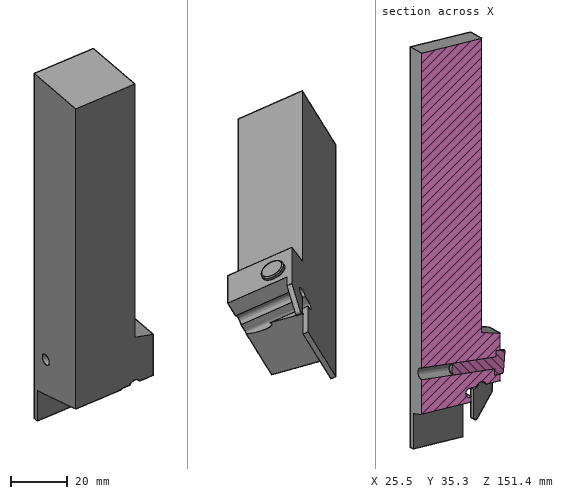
import cadquery as cq
import math

length = 151.4
shank = 25.5
slope = math.tan(math.radians(15))
lip_back = 33.3
lip_shoulder_z = 40.3
lip_straight_z = 14.5
blade_thickness = 2.0
relief_outer_z = 19.7

tip_y = 27.3
tip_side_z = 5.9
tip_low_y = 26.0
tip_low_z = 5.3

slot_front = 21.0
slot_back = shank
heel_y = 25.3
heel_z = 19.2
heel_radius = 2.3
toe_y = 20.5
toe_z = 18.5
toe_radius = 1.7

screw_tilt = 5
screw_x = 7.1
axis_front_z = 30.1
head_radius = 4.4
head_chamfer = 0.5
head_height = 3.8
head_top_distance = 35.1
stem_radius = 2.1
stem_tip_distance = 12.9
tip_chamfer = 0.5
hole_overrun = 1.5


def extrude_across(profile):
    """Extrude a (Y, Z) profile across the whole width of the shank."""
    return profile.extrude(shank)


def screw_cylinder(radius, start, end):
    """Cylinder between two distances from the front face along the screw axis."""
    tilt = math.radians(screw_tilt)
    axis = cq.Vector(0, math.cos(tilt), -math.sin(tilt))
    origin = cq.Vector(screw_x, 0, axis_front_z) + axis * start
    plane = cq.Plane(origin=origin.toTuple(), xDir=(1, 0, 0), normal=axis.toTuple())
    return cq.Workplane(plane).circle(radius).extrude(end - start)


def make_side_profile():
    """Shank with the lip and the pointed upper jaw."""
    lip_corner_z = lip_shoulder_z - (lip_back - shank) * slope
    return extrude_across(
        cq.Workplane("YZ")
        .moveTo(0, 0)
        .lineTo(slot_front, 0)
        .lineTo(slot_front, toe_z)
        .lineTo(slot_back, toe_z)
        .lineTo(slot_back, tip_side_z)
        .threePointArc((tip_low_y, tip_low_z), (tip_y, tip_side_z))
        .lineTo(lip_back, lip_straight_z)
        .lineTo(lip_back, lip_corner_z)
        .lineTo(shank, lip_shoulder_z)
        .lineTo(shank, length)
        .lineTo(0, length)
        .close()
    )


def make_slot_head():
    """Keyhole at the closed end of the insert slot."""
    heel = extrude_across(cq.Workplane("YZ").center(heel_y, heel_z).circle(heel_radius))
    toe = extrude_across(cq.Workplane("YZ").center(toe_y, toe_z).circle(toe_radius))
    bridge = extrude_across(
        cq.Workplane("YZ")
        .moveTo(toe_y, toe_z)
        .lineTo(heel_y, toe_z)
        .lineTo(heel_y, toe_z + toe_radius)
        .lineTo(toe_y, toe_z + toe_radius)
        .close()
    )
    return heel.union(toe).union(bridge)


def make_blade_relief():
    """Sloping cut that leaves only a thin blade at the bottom."""
    relief_inner_z = relief_outer_z - (shank - blade_thickness) * slope
    return (
        cq.Workplane("XZ")
        .moveTo(blade_thickness, 0)
        .lineTo(shank, 0)
        .lineTo(shank, relief_outer_z)
        .lineTo(blade_thickness, relief_inner_z)
        .close()
        .extrude(-lip_back)
    )


def make_jaw_relief():
    """Clearance behind the slot, level with the slot top, that thins the upper jaw."""
    return cq.Workplane("XY").box(
        shank - blade_thickness,
        lip_back - slot_front,
        toe_z + toe_radius,
        centered=False,
    ).translate((blade_thickness, slot_front, 0))


def make_screw():
    """Screw with a chamfered head and a chamfered stem tip."""
    head = screw_cylinder(head_radius, head_top_distance - head_height, head_top_distance)
    head = head.faces(">Y").chamfer(head_chamfer)
    stem = screw_cylinder(stem_radius, stem_tip_distance, head_top_distance - head_height)
    stem = stem.faces("<Y").chamfer(tip_chamfer)
    return head.union(stem)


def make_holder():
    """Tool holder with its slot, reliefs and stepped screw hole."""
    holder = make_side_profile().cut(make_slot_head())
    holder = holder.cut(make_blade_relief()).cut(make_jaw_relief())
    screw_hole = screw_cylinder(stem_radius, -hole_overrun, lip_back)
    head_seat = screw_cylinder(head_radius, head_top_distance - head_height, head_top_distance)
    return holder.cut(screw_hole).cut(head_seat)


holder = make_holder()
screw = make_screw()
result = cq.Compound.makeCompound([holder.val(), screw.val()])